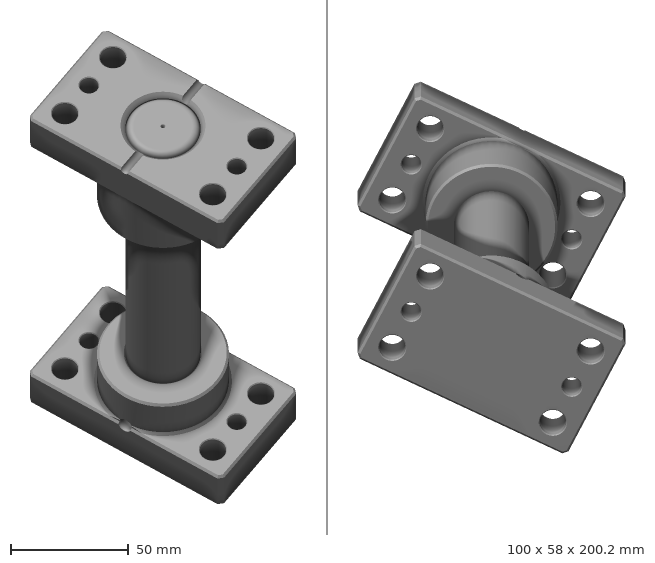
import cadquery as cq

total_height = 200.2

plate_length = 100.0
plate_width = 58.0
plate_thickness = 20.0
corner_chamfer = 2.0
edge_chamfer = 1.0

boss_radius = 28.0
boss_chamfer = 1.0
boss_base_flare = 1.2
upper_boss_height = 30.0
lower_boss_height = 20.0

pin_radius = 16.0
pin_end_rounding = 3.5
pin_recess = 0.5
center_mark_radius = 1.0
center_mark_depth = 1.8
upper_bore_lead_radius = 18.0
upper_bore_lead_depth = 2.0
lower_bore_chamfer = 0.6

hole_row_x = 38.0
bolt_hole_y = 18.0
bolt_hole_diameter = 11.2
dowel_hole_diameter = 8.2
hole_mouth_chamfer = 0.5

groove_radius = 2.0
radial_hole_radius = 3.2


def cone(bottom_radius, top_radius, height, bottom_z):
    """Upright truncated cone on the pin axis."""
    solid = cq.Solid.makeCone(bottom_radius, top_radius, height, cq.Vector(0, 0, bottom_z))
    return cq.Workplane(solid)


def plate():
    """Rectangular plate standing on Z = 0, chamfered on every edge."""
    blank = cq.Workplane("XY").box(plate_length, plate_width, plate_thickness, centered=(True, True, False))
    return blank.edges("|Z").chamfer(corner_chamfer).faces("<Z or >Z").chamfer(edge_chamfer)


def boss(height):
    """Chamfered boss on the plate's top face, with a flare trimmed to the flat part of that face."""
    cylinder = cq.Workplane("XY").workplane(offset=plate_thickness).circle(boss_radius).extrude(height)
    cylinder = cylinder.faces(">Z").chamfer(boss_chamfer)
    flat_width = plate_width - 2 * edge_chamfer
    flat_face = cq.Workplane("XY").box(plate_length, flat_width, total_height)
    flare = cone(boss_radius + boss_base_flare, boss_radius, boss_base_flare, plate_thickness)
    return cylinder.union(flare.intersect(flat_face))


def chamfered_hole(x, y, diameter):
    """Cutter for a through hole in a plate, chamfered at both mouths."""
    radius = diameter / 2
    mouth_radius = radius + hole_mouth_chamfer
    shaft = cq.Workplane("XY").circle(radius).extrude(plate_thickness)
    lower_mouth = cone(mouth_radius, radius, hole_mouth_chamfer, 0)
    upper_mouth = cone(radius, mouth_radius, hole_mouth_chamfer, plate_thickness - hole_mouth_chamfer)
    return shaft.union(lower_mouth).union(upper_mouth).translate((x, y, 0))


def drill_mounting_holes(holder):
    """Drill two bolt holes and the dowel hole between them near each end of the plate."""
    for x in (-hole_row_x, hole_row_x):
        holder = holder.cut(chamfered_hole(x, 0, dowel_hole_diameter))
        for y in (-bolt_hole_y, bolt_hole_y):
            holder = holder.cut(chamfered_hole(x, y, bolt_hole_diameter))
    return holder


def holder_blank(boss_height):
    """Plate with its boss, mounting holes and through bore."""
    bore = cq.Workplane("XY").circle(pin_radius).extrude(plate_thickness + boss_height)
    return drill_mounting_holes(plate().union(boss(boss_height)).cut(bore))


def upper_holder():
    """Upper plate with its boss hanging down, a tapered bore mouth and a round-bottomed groove across it."""
    holder = holder_blank(upper_boss_height)
    holder = holder.rotate((0, 0, 0), (1, 0, 0), 180).translate((0, 0, total_height))
    lead = cone(pin_radius, upper_bore_lead_radius, upper_bore_lead_depth, total_height - upper_bore_lead_depth)
    groove = (
        cq.Workplane("XZ")
        .center(0, total_height)
        .circle(groove_radius)
        .extrude(plate_width / 2, both=True)
    )
    return holder.cut(lead).cut(groove)


def lower_holder():
    """Lower plate with its boss on top and a radial hole from the -Y side into the bore."""
    holder = holder_blank(lower_boss_height)
    boss_top = plate_thickness + lower_boss_height
    mouth_radius = pin_radius + lower_bore_chamfer
    bore_chamfer = cone(pin_radius, mouth_radius, lower_bore_chamfer, boss_top - lower_bore_chamfer)
    radial_hole = (
        cq.Workplane("XZ")
        .center(0, plate_thickness)
        .circle(radial_hole_radius)
        .extrude(plate_width / 2)
    )
    return holder.cut(bore_chamfer).cut(radial_hole)


def guide_pin():
    """Pin from the lower plate's underside to just below the upper plate's face, with a center mark."""
    pin_length = total_height - pin_recess
    pin = cq.Workplane("XY").circle(pin_radius).extrude(pin_length)
    pin = pin.faces(">Z").edges().fillet(pin_end_rounding)
    mark = cone(0, center_mark_radius, center_mark_depth, pin_length - center_mark_depth)
    return pin.cut(mark)


upper = upper_holder()
lower = lower_holder()
pin = guide_pin()

result = cq.Compound.makeCompound([body.solids().val() for body in (upper, lower, pin)])